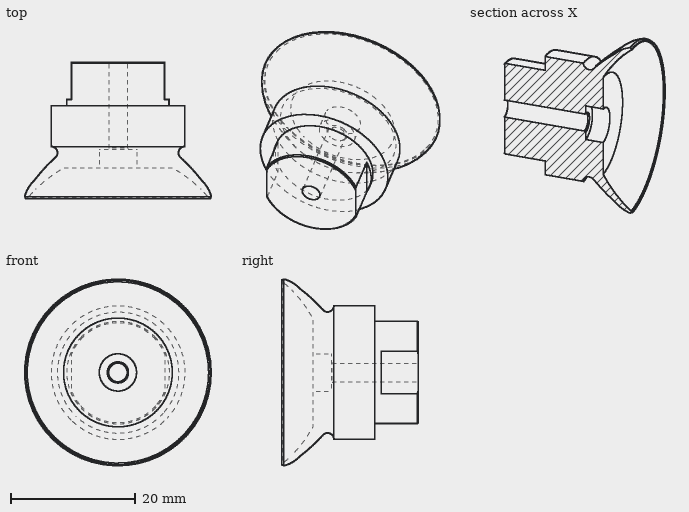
import cadquery as cq
import math

OVERALL_LENGTH = 22.0
FLAT_START = 16.0
COLLAR_BACK = 15.0
COLLAR_FRONT = 8.4
NECK_FRONT = 6.6
SKIRT_BEND = 2.93
LIP_BACK = 0.66
LIP_WIDEST = 0.38
LIP_INNER = 0.2
CUP_FLOOR = 5.0

SHAFT_DIAMETER = 16.5
SHAFT_CHAMFER = 0.2
ACROSS_FLATS = 15.0

COLLAR_DIAMETER = 21.5
NECK_GROOVE_RADIUS = 1.0

SKIRT_MIDDLE_RADIUS = 11.95
SKIRT_MIDDLE_Y = 4.8
SKIRT_BEND_RADIUS = 13.52
FLARE_MIDDLE_RADIUS = 14.38
FLARE_MIDDLE_Y = 1.88
LIP_BACK_RADIUS = 14.95
LIP_RADIUS = 15.0
LIP_FRONT_RADIUS = 14.85

LIP_INNER_RADIUS = 14.58
LIP_ROUND_RADIUS = 14.7
LIP_ROUND_Y = 0.05
CUP_MIDDLE_RADIUS = 11.9
CUP_MIDDLE_Y = 2.86
CUP_FLOOR_RADIUS = 8.75

BORE_DIAMETER = 6.0
BORE_DEPTH = 3.0
HOLE_DIAMETER = 3.0
HOLE_CHAMFER = 0.2


def revolve_about_y(profile):
    """Turn a closed (radius, y) profile a full circle about the Y axis."""
    return profile.close().revolve(360, (0, 0, 0), (0, 1, 0))


def make_body():
    shaft_radius = SHAFT_DIAMETER / 2
    collar_radius = COLLAR_DIAMETER / 2

    groove_center_y = COLLAR_FRONT - NECK_GROOVE_RADIUS
    groove_drop = groove_center_y - NECK_FRONT
    neck_end_radius = collar_radius - math.sqrt(NECK_GROOVE_RADIUS**2 - groove_drop**2)
    neck_radius = collar_radius - NECK_GROOVE_RADIUS

    profile = (
        cq.Workplane("XY")
        .moveTo(0, OVERALL_LENGTH)
        .lineTo(shaft_radius - SHAFT_CHAMFER, OVERALL_LENGTH)
        .lineTo(shaft_radius, OVERALL_LENGTH - SHAFT_CHAMFER)
        .lineTo(shaft_radius, COLLAR_BACK)
        .lineTo(collar_radius, COLLAR_BACK)
        .lineTo(collar_radius, COLLAR_FRONT)
        .threePointArc((neck_radius, groove_center_y), (neck_end_radius, NECK_FRONT))
        .threePointArc((SKIRT_MIDDLE_RADIUS, SKIRT_MIDDLE_Y), (SKIRT_BEND_RADIUS, SKIRT_BEND))
        .threePointArc((FLARE_MIDDLE_RADIUS, FLARE_MIDDLE_Y), (LIP_BACK_RADIUS, LIP_BACK))
        .lineTo(LIP_RADIUS, LIP_WIDEST)
        .lineTo(LIP_FRONT_RADIUS, 0)
        .threePointArc((LIP_ROUND_RADIUS, LIP_ROUND_Y), (LIP_INNER_RADIUS, LIP_INNER))
        .threePointArc((CUP_MIDDLE_RADIUS, CUP_MIDDLE_Y), (CUP_FLOOR_RADIUS, CUP_FLOOR))
        .lineTo(0, CUP_FLOOR)
    )
    return revolve_about_y(profile)


def cut_wrench_flats(body):
    flat_length = OVERALL_LENGTH - FLAT_START
    flat_depth = (SHAFT_DIAMETER - ACROSS_FLATS) / 2
    for side in (-1, 1):
        cutter = cq.Workplane("XY").box(flat_depth, flat_length, SHAFT_DIAMETER)
        center_x = side * (ACROSS_FLATS + flat_depth) / 2
        center_y = FLAT_START + flat_length / 2
        body = body.cut(cutter.translate((center_x, center_y, 0)))
    return body


def make_stepped_hole():
    bore_radius = BORE_DIAMETER / 2
    hole_radius = HOLE_DIAMETER / 2
    bore_bottom = CUP_FLOOR + BORE_DEPTH
    profile = (
        cq.Workplane("XY")
        .moveTo(0, CUP_FLOOR)
        .lineTo(bore_radius, CUP_FLOOR)
        .lineTo(bore_radius, bore_bottom)
        .lineTo(hole_radius + HOLE_CHAMFER, bore_bottom)
        .lineTo(hole_radius, bore_bottom + HOLE_CHAMFER)
        .lineTo(hole_radius, OVERALL_LENGTH)
        .lineTo(0, OVERALL_LENGTH)
    )
    return revolve_about_y(profile)


result = cut_wrench_flats(make_body()).cut(make_stepped_hole())